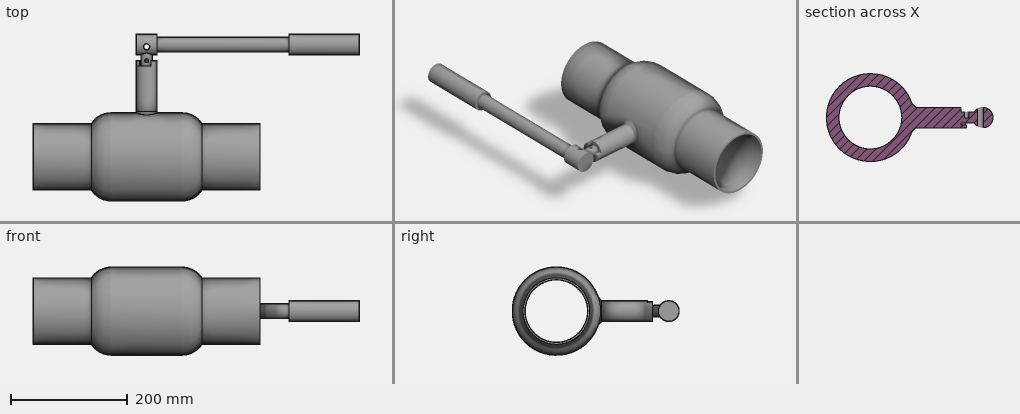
import cadquery as cq
import math

pipe_length = 390.0
pipe_diameter = 114.0
bore_diameter = 107.0
body_diameter = 152.0
barrel_length = 121.5
shoulder_length = 34.0
body_x = pipe_length / 2

stem_diameter = 36.0
stem_top = 165.0
weld_top = 78.0
weld_depth = 5.5

stop_depth = 9.0
stop_wall_offset = 7.0
stop_floor_z = 2.0
neck_clearance_diameter = 24.0

neck_diameter = 20.0
neck_hole_diameter = 7.0
neck_hole_depth = neck_diameter / 2

overall_length = 560.0
handle_y = 192.9
head_diameter = 36.0
head_length = 36.0
rod_diameter = 26.0
grip_diameter = 36.0
grip_length = 121.0
head_hole_diameter = 10.0
head_hole_drop = 4.0


def x_cylinder(diameter, start, length, y=0):
    return cq.Workplane("YZ", origin=(start, y, 0)).circle(diameter / 2).extrude(length)


def y_cylinder(diameter, start, end):
    base = cq.Workplane("XZ", origin=(body_x, start, 0))
    return base.circle(diameter / 2).extrude(start - end)


def make_body():
    """Pipe with a barrel whose shoulders are arcs tangent to the barrel side."""
    pipe_radius = pipe_diameter / 2
    body_radius = body_diameter / 2
    drop = body_radius - pipe_radius
    arc_radius = (shoulder_length**2 + drop**2) / (2 * drop)
    half_sweep = math.asin(shoulder_length / arc_radius) / 2
    mid_offset = arc_radius * math.sin(half_sweep)
    mid_radius = body_radius - arc_radius * (1 - math.cos(half_sweep))
    barrel_start = body_x - barrel_length / 2
    barrel_end = body_x + barrel_length / 2
    barrel = (
        cq.Workplane("XY")
        .moveTo(barrel_start - shoulder_length, 0)
        .lineTo(barrel_start - shoulder_length, pipe_radius)
        .threePointArc((barrel_start - mid_offset, mid_radius), (barrel_start, body_radius))
        .lineTo(barrel_end, body_radius)
        .threePointArc((barrel_end + mid_offset, mid_radius), (barrel_end + shoulder_length, pipe_radius))
        .lineTo(barrel_end + shoulder_length, 0)
        .close()
        .revolve(360, (0, 0, 0), (1, 0, 0))
    )
    return barrel.union(x_cylinder(pipe_diameter, 0, pipe_length))


def make_stem():
    """Stem with a 45-degree weld cone and a quadrant notch around the neck."""
    stem_radius = stem_diameter / 2
    weld_bottom = weld_top - weld_depth
    stem_base = pipe_diameter / 2
    profile = [
        (0, stem_base),
        (stem_radius + weld_depth, stem_base),
        (stem_radius + weld_depth, weld_bottom),
        (stem_radius, weld_top),
        (stem_radius, stem_top),
        (0, stem_top),
    ]
    stem = cq.Workplane("XY").polyline(profile).close().revolve(360, (0, 0, 0), (0, 1, 0))
    stem = stem.translate((body_x, 0, 0))
    notch = cq.Workplane("XY").box(
        stem_radius + stop_wall_offset, stop_depth, stem_radius - stop_floor_z, centered=False
    )
    notch = notch.translate((body_x - stem_radius, stem_top - stop_depth, stop_floor_z))
    clearance = y_cylinder(neck_clearance_diameter, stem_top - stop_depth, stem_top)
    return stem.cut(notch).cut(clearance)


def make_neck():
    neck = y_cylinder(neck_diameter, stem_top - stop_depth, handle_y)
    hole = (
        cq.Workplane("XY", origin=(body_x, stem_top, neck_diameter / 2 - neck_hole_depth))
        .circle(neck_hole_diameter / 2)
        .extrude(neck_hole_depth)
    )
    return neck.cut(hole)


def make_handle():
    head = x_cylinder(head_diameter, body_x - head_length / 2, head_length, handle_y)
    rod = x_cylinder(rod_diameter, body_x, overall_length - body_x, handle_y)
    grip = x_cylinder(grip_diameter, overall_length - grip_length, grip_length, handle_y)
    return head.union(rod).union(grip)


bore = x_cylinder(bore_diameter, 0, pipe_length)
head_hole = (
    cq.Workplane("XY", origin=(body_x, handle_y - head_hole_drop, 0))
    .circle(head_hole_diameter / 2)
    .extrude(head_diameter / 2, both=True)
)

result = make_body().union(make_stem()).cut(bore)
result = result.union(make_neck()).union(make_handle()).cut(head_hole)